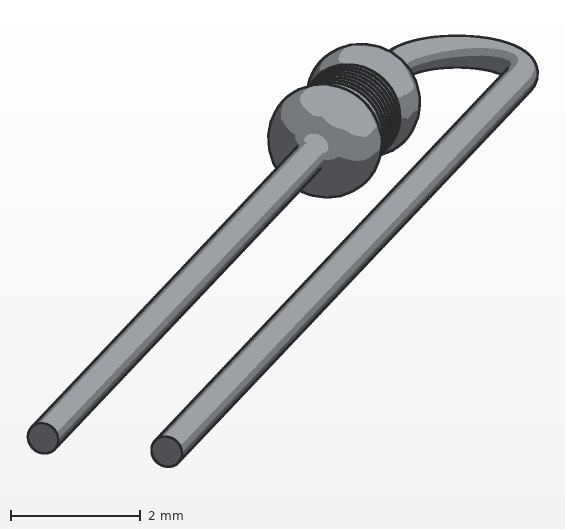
import cadquery as cq
import math

total_length = 19.05
wire_diameter = 0.5
lead_spacing = 2.0
bend_radius = lead_spacing / 2
wire_radius = wire_diameter / 2

bulb_radius = 1.8 / 2
barrel_radius = 1.52 / 2
body_half_length = 1.75
bulb_offset = 0.95
shoulder_run = 0.238
shoulder_radius = (bulb_radius + barrel_radius) / 2
barrel_half_length = bulb_offset - 2 * shoulder_run
neck_radius = 0.4
neck_offset = 1.58

band_diameter = 1.55
band_count = 4
band_width = 0.124
band_pitch = 2 * band_width

bend_top = 3.83
bend_start = bend_top - bend_radius - wire_radius
lead_end = bend_top - total_length


def make_wire():
    path = (
        cq.Workplane("XY")
        .moveTo(0, lead_end)
        .lineTo(0, bend_start)
        .threePointArc((bend_radius, bend_start + bend_radius), (lead_spacing, bend_start))
        .lineTo(lead_spacing, lead_end)
    )
    section = cq.Workplane("XZ", origin=(0, lead_end, 0)).circle(wire_radius)
    return section.sweep(path)


def make_body_end():
    """Revolve the +Y end: S-curved shoulder, bulb and flared neck."""
    rise = shoulder_radius - barrel_radius
    arc_radius = (rise**2 + shoulder_run**2) / (2 * rise)
    half_angle = math.asin(shoulder_run / arc_radius) / 2
    shoulder_middle = (
        barrel_radius + arc_radius * (1 - math.cos(half_angle)),
        barrel_half_length + arc_radius * math.sin(half_angle),
    )
    return (
        cq.Workplane("XY")
        .moveTo(0, barrel_half_length)
        .lineTo(barrel_radius, barrel_half_length)
        .threePointArc(shoulder_middle, (shoulder_radius, bulb_offset - shoulder_run))
        .tangentArcPoint((bulb_radius, bulb_offset), relative=False)
        .tangentArcPoint((neck_radius, neck_offset), relative=False)
        .tangentArcPoint((wire_radius, body_half_length), relative=False)
        .lineTo(0, body_half_length)
        .close()
        .revolve(360, (0, 0, 0), (0, 1, 0))
    )


def make_disc(diameter, width, center_y):
    """Cylinder along Y, centred at the given place on the body axis."""
    return (
        cq.Workplane("XZ", origin=(0, center_y, 0))
        .circle(diameter / 2)
        .extrude(width / 2, both=True)
    )


body_end = make_body_end()
barrel = make_disc(2 * barrel_radius, 2 * barrel_half_length, 0)
result = barrel.union(body_end).union(body_end.mirror("XZ")).union(make_wire())
for index in range(band_count):
    band_y = (index - (band_count - 1) / 2) * band_pitch
    result = result.union(make_disc(band_diameter, band_width, band_y))